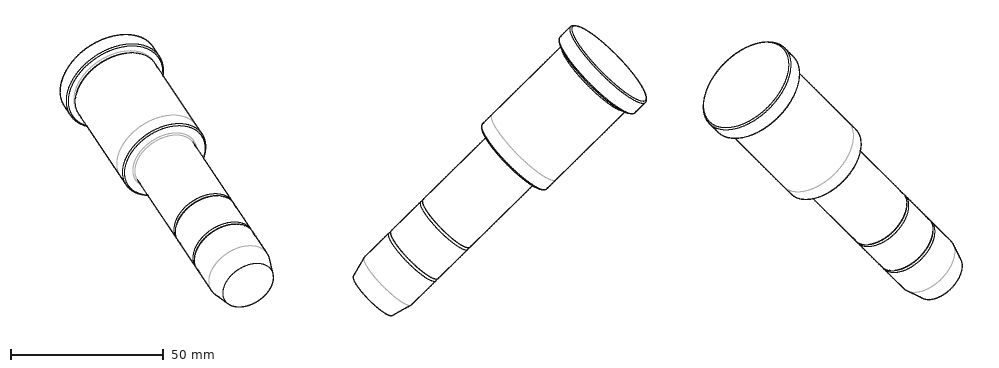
import cadquery as cq
import math

TOTAL_LENGTH = 111.0
HEAD_LENGTH = 6.0
BODY_END = 45.0
LEAD_IN_LENGTH = 5.0
TIP_LENGTH = 7.0
GROOVE_STARTS = (76.5, 91.5)

HEAD_RADIUS = 35.0 / 2
BODY_RADIUS = 30.0 / 2
PIN_RADIUS = 22.0 / 2

EDGE_CHAMFER = 0.5
GROOVE_WIDTH = 1.0
GROOVE_DEPTH = 0.5
NECK_FILLET = 0.5
TIP_ANGLE = 15.0

LEAD_IN_START = BODY_END - LEAD_IN_LENGTH
TIP_START = TOTAL_LENGTH - TIP_LENGTH
TIP_RADIUS = PIN_RADIUS - TIP_LENGTH * math.tan(math.radians(TIP_ANGLE))


def add_groove(profile, start, radius):
    """Continue the profile to x = start, then along a concave round groove."""
    return profile.lineTo(start, radius).threePointArc(
        (start + GROOVE_WIDTH / 2, radius - GROOVE_DEPTH),
        (start + GROOVE_WIDTH, radius),
    )


def add_head(profile):
    """Flange with both rims chamfered."""
    return (
        profile.lineTo(0, HEAD_RADIUS - EDGE_CHAMFER)
        .lineTo(EDGE_CHAMFER, HEAD_RADIUS)
        .lineTo(HEAD_LENGTH - EDGE_CHAMFER, HEAD_RADIUS)
        .lineTo(HEAD_LENGTH, HEAD_RADIUS - EDGE_CHAMFER)
    )


def add_body(profile):
    """Body: undercut, main face, then a flush lead-in face with a chamfered end."""
    return (
        add_groove(profile, HEAD_LENGTH, BODY_RADIUS)
        .lineTo(LEAD_IN_START, BODY_RADIUS)
        .lineTo(BODY_END - EDGE_CHAMFER, BODY_RADIUS)
        .lineTo(BODY_END, BODY_RADIUS - EDGE_CHAMFER)
    )


def add_pin(profile):
    """Pin: filleted neck, round grooves and the tapered tip."""
    arc_offset = NECK_FILLET * (1 - math.sqrt(0.5))
    profile = profile.lineTo(BODY_END, PIN_RADIUS + NECK_FILLET).threePointArc(
        (BODY_END + arc_offset, PIN_RADIUS + arc_offset),
        (BODY_END + NECK_FILLET, PIN_RADIUS),
    )
    for groove_start in GROOVE_STARTS:
        profile = add_groove(profile, groove_start, PIN_RADIUS)
    return profile.lineTo(TIP_START, PIN_RADIUS).lineTo(TOTAL_LENGTH, TIP_RADIUS)


half_profile = cq.Workplane("XZ").moveTo(0, 0)
half_profile = add_head(half_profile)
half_profile = add_body(half_profile)
half_profile = add_pin(half_profile)
half_profile = half_profile.lineTo(TOTAL_LENGTH, 0).close()

result = half_profile.revolve(360, (0, 0, 0), (1, 0, 0), clean=False)